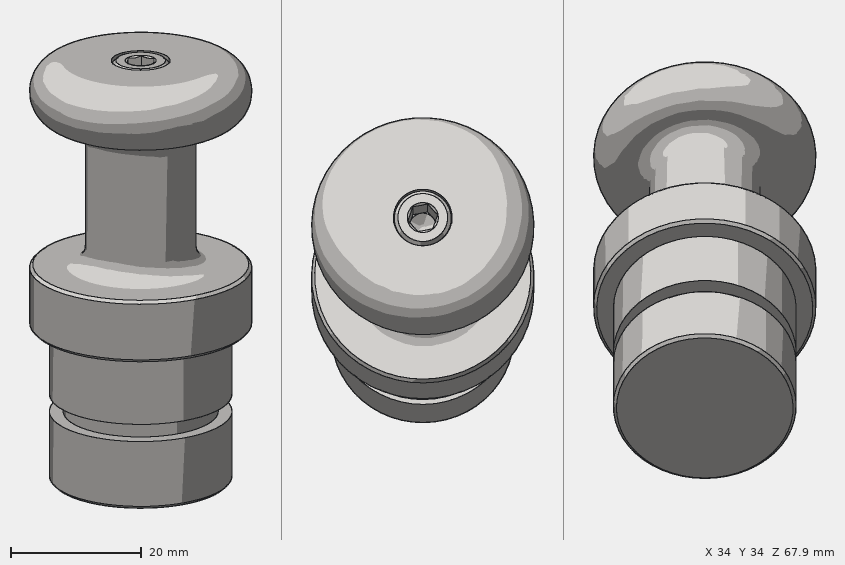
import cadquery as cq
import math

total_height = 67.9
plug_height = 24.85
disc_height = 10.0
flange_top = plug_height + disc_height
knob_bottom = total_height - disc_height
edge_chamfer = 0.5

disc_radius = 34.0 / 2
stem_radius = 8.5
stem_fillet = 3.0
knob_round = 4.9

plug_radius = 14.0
groove_radius = 11.9
groove_bottom = 11.0
groove_width = 2.8

screw_radius = 4.35
screw_clearance = 0.15
screw_chamfer = 0.55
screw_length = total_height - plug_height
socket_across_flats = 4.0
socket_depth = 4.75
drill_point_angle = 118.0
socket_mouth_radius = 2.4
socket_mouth_angle = 120.0


def cylinder(radius, bottom, height):
    """Cylinder on the Z axis, standing at the given height."""
    return cq.Workplane("XY").workplane(offset=bottom).circle(radius).extrude(height)


def make_plug():
    """Cylindrical plug with a ring groove and a chamfered lower edge."""
    plug = cylinder(plug_radius, 0, plug_height).faces("<Z").edges().chamfer(edge_chamfer)
    groove = cylinder(plug_radius, groove_bottom, groove_width)
    groove = groove.cut(cylinder(groove_radius, groove_bottom, groove_width))
    return plug.cut(groove)


def make_handle():
    """Flange, filleted stem and rounded knob turned in one piece, bored for the screw."""
    stem_edge = stem_radius + stem_fillet
    knob_edge = disc_radius - knob_round
    handle = (
        cq.Workplane("XZ")
        .moveTo(0, plug_height)
        .lineTo(disc_radius - edge_chamfer, plug_height)
        .lineTo(disc_radius, plug_height + edge_chamfer)
        .lineTo(disc_radius, flange_top - edge_chamfer)
        .lineTo(disc_radius - edge_chamfer, flange_top)
        .lineTo(stem_edge, flange_top)
        .radiusArc((stem_radius, flange_top + stem_fillet), stem_fillet)
        .lineTo(stem_radius, knob_bottom - stem_fillet)
        .radiusArc((stem_edge, knob_bottom), stem_fillet)
        .lineTo(knob_edge, knob_bottom)
        .radiusArc((disc_radius, knob_bottom + knob_round), -knob_round)
        .lineTo(disc_radius, total_height - knob_round)
        .radiusArc((knob_edge, total_height), -knob_round)
        .lineTo(0, total_height)
        .close()
        .revolve(360, (0, 0, 0), (0, 1, 0))
    )
    bore = cylinder(screw_radius + screw_clearance, plug_height, total_height - plug_height)
    return handle.cut(bore)


def inverted_cone(radius, top, included_angle):
    """Cone on the Z axis that points down from the given height."""
    depth = radius / math.tan(math.radians(included_angle / 2))
    return (
        cq.Workplane("XZ", origin=(0, 0, top))
        .polyline([(0, 0), (radius, 0), (0, -depth)])
        .close()
        .revolve(360, (0, 0, 0), (0, 1, 0))
    )


def make_screw():
    """Headless screw with a hexagon socket, countersunk at the mouth and ending in a drill point."""
    screw = cylinder(screw_radius, plug_height, screw_length).faces(">Z").edges().chamfer(screw_chamfer)
    socket_bottom = total_height - socket_depth
    corner_diameter = socket_across_flats / math.cos(math.radians(30))
    socket = (
        cq.Workplane("XY", origin=(0, 0, socket_bottom))
        .transformed(rotate=(0, 0, 90))
        .polygon(6, corner_diameter)
        .extrude(socket_depth)
    )
    drill_point = inverted_cone(socket_across_flats / 2, socket_bottom, drill_point_angle)
    mouth = inverted_cone(socket_mouth_radius, total_height, socket_mouth_angle)
    return screw.cut(socket).cut(drill_point).cut(mouth)


plug = make_plug()
handle = make_handle()
screw = make_screw()

result = cq.Compound.makeCompound([plug.val(), handle.val(), screw.val()])